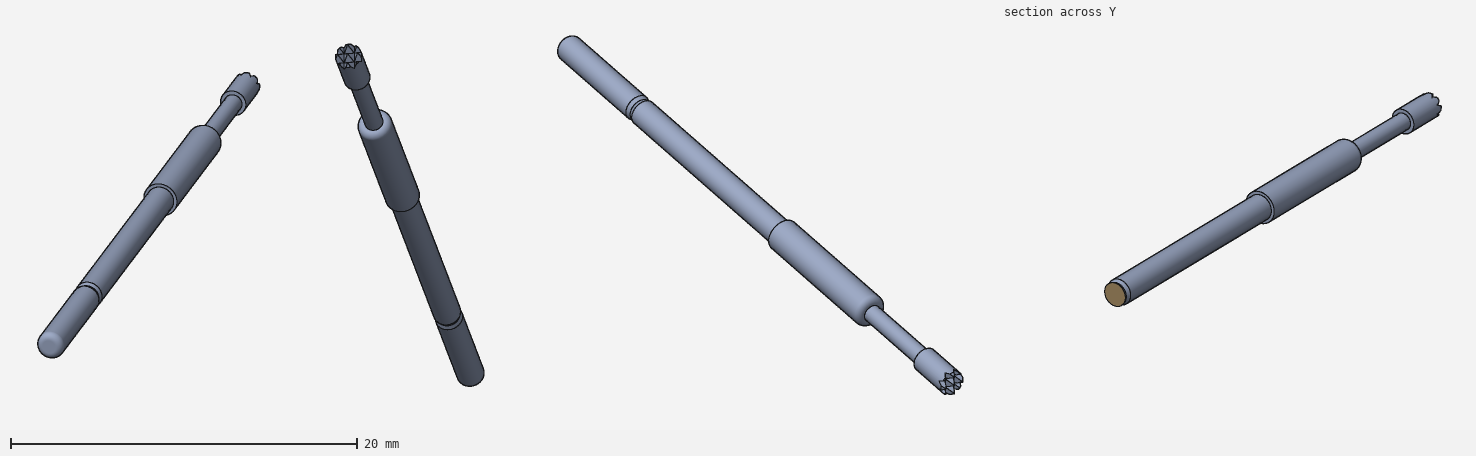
import cadquery as cq

LENGTH = 39.3

BARREL_DIAMETER = 1.6
TAIL_FILLET = 0.4
CRIMP_START = 7.2
CRIMP_WIDTH = 0.6
CRIMP_DEPTH = 0.1

COLLAR_DIAMETER = 2.0
COLLAR_START = 21.93
COLLAR_END = 30.95
COLLAR_FILLET = 0.4

STEM_DIAMETER = 1.05
HEAD_DIAMETER = 1.55
HEAD_LENGTH = 3.0

RIM_CHAMFER_LENGTH = 0.25
RIM_CHAMFER_WIDTH = 0.15
TOOTH_PITCH = 0.6
CROWN_GROOVE_WIDTH = 0.55
CROWN_GROOVE_DEPTH = 0.5

HEAD_START = LENGTH - HEAD_LENGTH


def rod(diameter, start, end):
    """Cylinder on the Y axis between two Y positions."""
    return cq.Workplane("XZ", origin=(0, start, 0)).circle(diameter / 2).extrude(start - end)


def barrel():
    return rod(BARREL_DIAMETER, 0, COLLAR_START).faces("<Y").edges().fillet(TAIL_FILLET)


def collar():
    return rod(COLLAR_DIAMETER, COLLAR_START, COLLAR_END).faces(">Y").edges().fillet(COLLAR_FILLET)


def crimp_groove():
    """Ring with a V section that is cut into the barrel."""
    radius = BARREL_DIAMETER / 2
    return (
        cq.Workplane("XY")
        .moveTo(radius, CRIMP_START)
        .lineTo(radius - CRIMP_DEPTH, CRIMP_START + CRIMP_WIDTH / 2)
        .lineTo(radius, CRIMP_START + CRIMP_WIDTH)
        .close()
        .revolve(360, (0, 0, 0), (0, 1, 0))
    )


def crown_groove(offset):
    """V-groove cutter that runs along Z at the given X."""
    half_width = CROWN_GROOVE_WIDTH / 2
    return (
        cq.Workplane("XY")
        .moveTo(offset - half_width, LENGTH)
        .lineTo(offset, LENGTH - CROWN_GROOVE_DEPTH)
        .lineTo(offset + half_width, LENGTH)
        .close()
        .extrude(HEAD_DIAMETER, both=True)
    )


def chamfered_head():
    """Head revolved from its half section, with the narrow rim at the tip end."""
    radius = HEAD_DIAMETER / 2
    return (
        cq.Workplane("XY")
        .moveTo(0, HEAD_START)
        .lineTo(radius, HEAD_START)
        .lineTo(radius, LENGTH - RIM_CHAMFER_LENGTH)
        .lineTo(radius - RIM_CHAMFER_WIDTH, LENGTH)
        .lineTo(0, LENGTH)
        .close()
        .revolve(360, (0, 0, 0), (0, 1, 0))
    )


def crown_head():
    head = chamfered_head()
    for offset in (-TOOTH_PITCH / 2, TOOTH_PITCH / 2):
        groove = crown_groove(offset)
        head = head.cut(groove)
        head = head.cut(groove.rotate((0, 0, 0), (0, 1, 0), 90))
    return head


stem = rod(STEM_DIAMETER, COLLAR_END, HEAD_START)

result = barrel().cut(crimp_groove()).union(collar()).union(stem).union(crown_head())